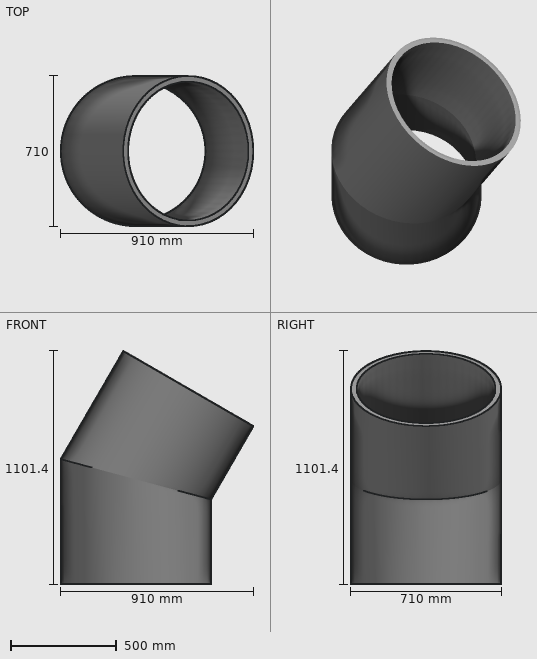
import cadquery as cq
import math

outer_diameter = 710.0
inner_diameter = 655.6
bend_angle = 30.0
inner_side_length = 400.0

bend = math.radians(bend_angle)
leg_length = inner_side_length + outer_diameter / 2 * math.tan(bend / 2)


def centre_line():
    """Pipe axis in the XZ plane: straight up, then tilted by the bend angle."""
    corner = (0, leg_length)
    upper_end = (
        leg_length * math.sin(bend),
        leg_length * (1 + math.cos(bend)),
    )
    return cq.Workplane("XZ").polyline([(0, 0), corner, upper_end])


def mitred_rod(diameter):
    """Solid round bar along the centre line with a sharp mitre at the corner."""
    section = cq.Workplane("XY").circle(diameter / 2)
    return section.sweep(centre_line(), transition="right")


result = mitred_rod(outer_diameter).cut(mitred_rod(inner_diameter))